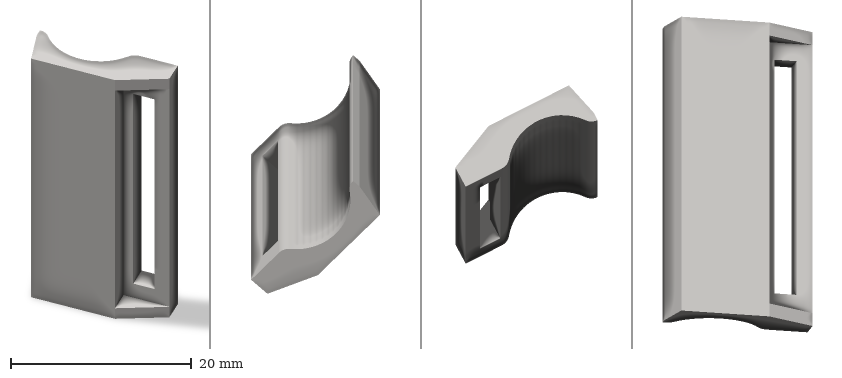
import cadquery as cq
import math

length = 34.0
width = 16.5
depth = 5.0

flat_start = 1.0
flat_end = 11.0
left_edge_height = 1.0
right_bottom = 2.5
groove_radius = 6.0
groove_bottom = 2.0
lip_radius = 1.5

end_wall = 1.5
slot_left = 12.17
slot_width = 2.5
slot_length = 27.03

groove_y = groove_bottom + groove_radius
lip_y = depth - lip_radius
center_gap = groove_radius + lip_radius
groove_x = math.sqrt(center_gap**2 - (groove_y - lip_y) ** 2)
right_lip_x = 2 * groove_x

lip_angle = math.asin(groove_x / center_gap)


def lip_point(center_x, side, angle):
    """Point on a lip rounding, turned from the back toward the groove."""
    x = center_x + side * lip_radius * math.sin(angle)
    y = lip_y + lip_radius * math.cos(angle)
    return (x, y)


def make_body():
    """Extrude the grooved cross-section along Z."""
    return (
        cq.Workplane("XY")
        .moveTo(flat_start, 0)
        .lineTo(flat_end, 0)
        .lineTo(width, right_bottom)
        .lineTo(width, depth)
        .lineTo(right_lip_x, depth)
        .threePointArc(
            lip_point(right_lip_x, -1, lip_angle / 2),
            lip_point(right_lip_x, -1, lip_angle),
        )
        .threePointArc((groove_x, groove_bottom), lip_point(0, 1, lip_angle))
        .threePointArc(lip_point(0, 1, lip_angle / 2), (0, depth))
        .lineTo(0, depth - left_edge_height)
        .close()
        .extrude(length)
    )


def make_recess():
    """Pocket that removes the slope between the two end walls."""
    return cq.Workplane("XY").box(
        width - flat_end, right_bottom, length - 2 * end_wall, centered=False
    ).translate((flat_end, 0, end_wall))


def make_slot():
    """Rectangular opening through the full depth, centred along Z."""
    return cq.Workplane("XY").box(
        slot_width, depth, slot_length, centered=False
    ).translate((slot_left, 0, (length - slot_length) / 2))


result = make_body().cut(make_recess()).cut(make_slot())